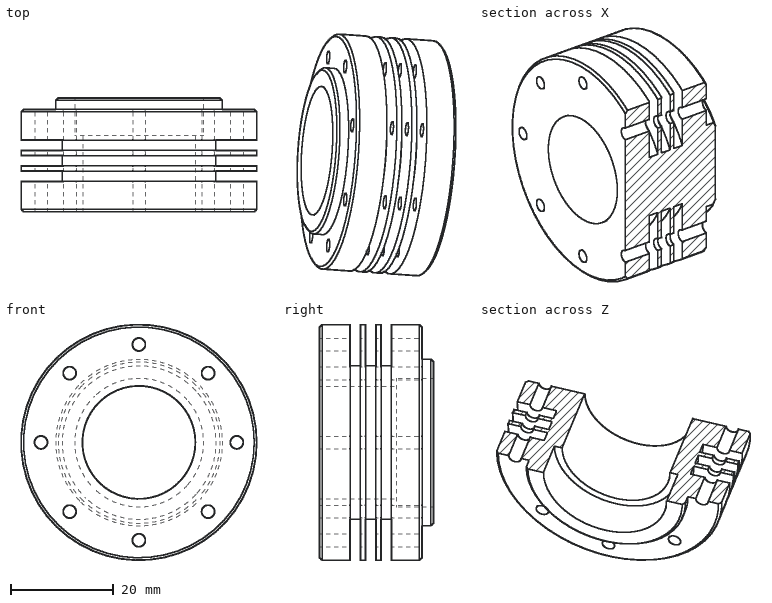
import cadquery as cq

outer_diameter = 46
core_diameter = 30.0
boss_diameter = 32.5
bore_diameter = 22.0
counterbore_diameter = 25.1
counterbore_depth = 7.25
flange_thickness = 6
fin_thickness = 1.0
fin_count = 2
total_length = 22.25
boss_length = 2.25
edge_chamfer = 0.5
hole_diameter = 2.5
hole_circle_diameter = 38.2
hole_count = 8

body_length = total_length - boss_length
core_length = body_length - 2 * flange_thickness
rear_flange_start = flange_thickness + core_length
groove_width = (core_length - fin_count * fin_thickness) / (fin_count + 1)
fin_pitch = groove_width + fin_thickness


def disc(diameter, start, length):
    """Solid disc on the Y axis, from Y = start to Y = start + length."""
    plane = cq.Workplane("XZ", origin=(0, start, 0))
    return plane.circle(diameter / 2).extrude(-length)


front_flange = disc(outer_diameter, 0, flange_thickness).faces("<Y").chamfer(edge_chamfer)
rear_flange = disc(outer_diameter, rear_flange_start, flange_thickness).faces(">Y").chamfer(edge_chamfer)
boss = disc(boss_diameter, body_length, boss_length).faces(">Y").chamfer(edge_chamfer)

body = front_flange.union(disc(core_diameter, flange_thickness, core_length))
body = body.union(rear_flange).union(boss)
for index in range(fin_count):
    fin_start = flange_thickness + groove_width + index * fin_pitch
    body = body.union(disc(outer_diameter, fin_start, fin_thickness))

body = body.cut(disc(bore_diameter, 0, total_length))
body = body.cut(disc(counterbore_diameter, total_length - counterbore_depth, counterbore_depth))

holes = (
    cq.Workplane("XZ")
    .polarArray(hole_circle_diameter / 2, 0, 360, hole_count)
    .circle(hole_diameter / 2)
    .extrude(-body_length)
)
result = body.cut(holes)